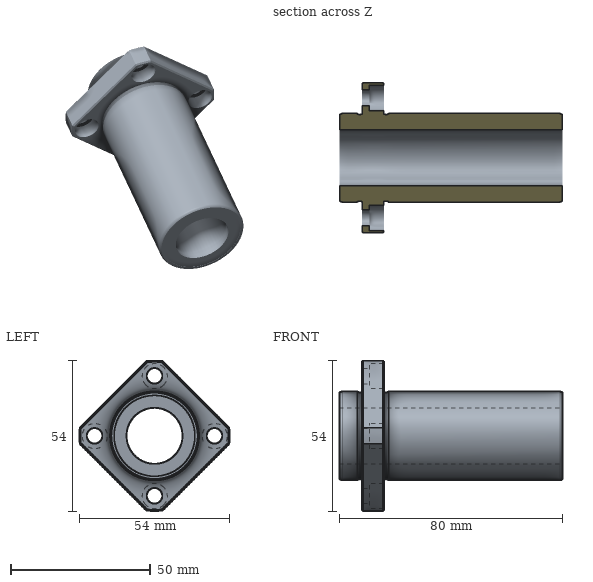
import cadquery as cq

total_length = 80.0
body_radius = 16.0
bore_radius = 10.0

rim_length = 1.0
rim_drop = 0.55
rim_radius = 2.0

flange_start = 8.0
flange_thickness = 8.0
flange_end = flange_start + flange_thickness
flange_width = 42.0
flange_corner_diameter = 54.0
flange_chamfer = 0.5
flange_opening_radius = (body_radius + bore_radius) / 2

groove_reach = 1.7
groove_floor_offset = 0.7
groove_depth = 0.4

recess_radius = 14.5
recess_depth = 0.1

hole_circle_diameter = 43.0
hole_count = 4
hole_diameter = 5.5
counterbore_diameter = 9.0
counterbore_depth = 5.3


def make_sleeve():
    """Revolve the sleeve's half section, with its curved rims and recessed end faces, about X."""
    end_radius = body_radius - rim_drop
    profile = (
        cq.Workplane("XY")
        .moveTo(recess_depth, bore_radius)
        .lineTo(recess_depth, recess_radius)
        .lineTo(0, recess_radius)
        .lineTo(0, end_radius)
        .radiusArc((rim_length, body_radius), rim_radius)
        .lineTo(total_length - rim_length, body_radius)
        .radiusArc((total_length, end_radius), rim_radius)
        .lineTo(total_length, recess_radius)
        .lineTo(total_length - recess_depth, recess_radius)
        .lineTo(total_length - recess_depth, bore_radius)
        .close()
    )
    return profile.revolve(360, (0, 0, 0), (1, 0, 0))


def make_relief_groove(flange_face, outward):
    """Ring of circular-segment section that sinks a groove beside a flange face.

    The segment runs partly under the flange, so the flange covers its inner end.
    """
    half_width = groove_reach - groove_floor_offset
    floor_x = flange_face + outward * groove_floor_offset
    segment = (
        cq.Workplane("XY")
        .moveTo(floor_x - half_width, body_radius)
        .threePointArc((floor_x, body_radius - groove_depth), (floor_x + half_width, body_radius))
        .close()
    )
    return segment.revolve(360, (0, 0, 0), (1, 0, 0))


def make_flange():
    """Extrude the square flange, round its corners to a common circle and chamfer both faces."""
    square = (
        cq.Workplane("YZ")
        .workplane(offset=flange_start)
        .transformed(rotate=(0, 0, 45))
        .rect(flange_width, flange_width)
        .extrude(flange_thickness)
    )
    corner_limit = (
        cq.Workplane("YZ")
        .workplane(offset=flange_start)
        .circle(flange_corner_diameter / 2)
        .extrude(flange_thickness)
    )
    plate = square.intersect(corner_limit).faces("<X or >X").chamfer(flange_chamfer)
    opening = (
        cq.Workplane("YZ")
        .workplane(offset=flange_start)
        .circle(flange_opening_radius)
        .extrude(flange_thickness)
    )
    return plate.cut(opening)


def make_hole_pattern(diameter, start, depth):
    """One cylinder per mounting hole, running along X from the given start."""
    return (
        cq.Workplane("YZ")
        .workplane(offset=start)
        .polarArray(hole_circle_diameter / 2, 0, 360, hole_count)
        .circle(diameter / 2)
        .extrude(depth)
    )


def drill_mounting_holes(part):
    """Drill the holes at the flange corners, counterbored from the long side of the sleeve."""
    through_holes = make_hole_pattern(hole_diameter, flange_start, flange_thickness)
    counterbores = make_hole_pattern(
        counterbore_diameter, flange_end - counterbore_depth, counterbore_depth
    )
    return part.cut(through_holes).cut(counterbores)


sleeve = make_sleeve()
sleeve = sleeve.cut(make_relief_groove(flange_start, -1))
sleeve = sleeve.cut(make_relief_groove(flange_end, 1))
result = drill_mounting_holes(sleeve.union(make_flange()))